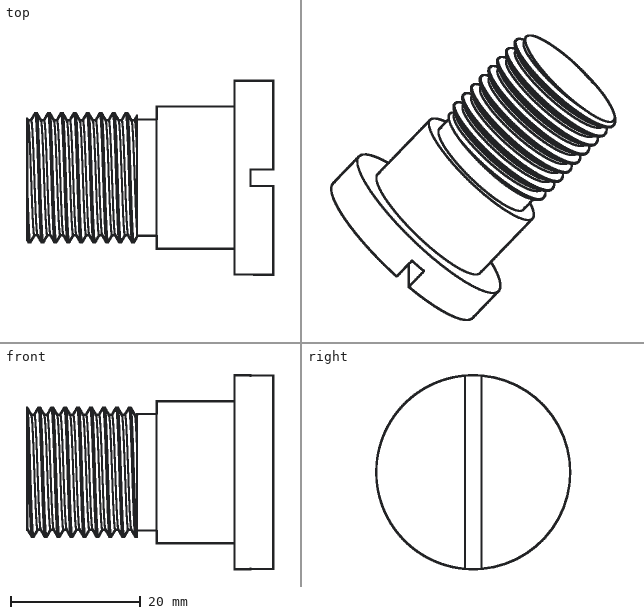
import cadquery as cq
import math

total_length = 38.0
head_diameter = 30.0
head_length = 6.0
shoulder_diameter = 22.0
shoulder_length = 12.0
neck_diameter = 18.0

thread_diameter = 20.0
thread_length = 17.0
thread_turns = 8.5
flank_angle = 30.0
pitch = thread_length / thread_turns
crest_width = pitch / 8
root_width = pitch / 4
thread_depth = (pitch - crest_width - root_width) / (2 * math.tan(math.radians(flank_angle)))
root_radius = thread_diameter / 2 - thread_depth
first_crest = 0.43 * pitch
ridge_overlap = 0.1

slot_width = 2.5
slot_depth = 3.5

head_start = total_length - head_length
shoulder_start = head_start - shoulder_length


def cylinder(start, end, diameter):
    """Solid cylinder around the X axis between two X positions."""
    return cq.Workplane("YZ").workplane(offset=start).circle(diameter / 2).extrude(end - start)


def thread_ridge():
    """Helical ridge along X, trimmed flat at both ends of the thread."""
    start = first_crest - 2 * pitch
    height = (thread_turns + 3) * pitch
    base_radius = root_radius - ridge_overlap
    half_base = (pitch - root_width) / 2 + ridge_overlap * math.tan(math.radians(flank_angle))
    half_crest = crest_width / 2

    helix = cq.Workplane(cq.Wire.makeHelix(pitch, height, base_radius))
    ridge = (
        cq.Workplane("XZ")
        .moveTo(base_radius, -half_base)
        .lineTo(thread_diameter / 2, -half_crest)
        .lineTo(thread_diameter / 2, half_crest)
        .lineTo(base_radius, half_base)
        .close()
        .sweep(helix, isFrenet=True)
        .rotate((0, 0, 0), (0, 1, 0), 90)
        .translate((start, 0, 0))
    )
    return ridge.intersect(cylinder(0, thread_length, head_diameter))


def screw_slot():
    """Driver slot straight across the head along Z."""
    return cq.Workplane("XY").box(slot_depth, slot_width, head_diameter).translate(
        (total_length - slot_depth / 2, 0, 0)
    )


core = cylinder(0, thread_length, 2 * root_radius)
neck = cylinder(thread_length, shoulder_start, neck_diameter)
shoulder = cylinder(shoulder_start, head_start, shoulder_diameter)
head = cylinder(head_start, total_length, head_diameter).cut(screw_slot())

result = core.union(thread_ridge()).union(neck).union(shoulder).union(head)